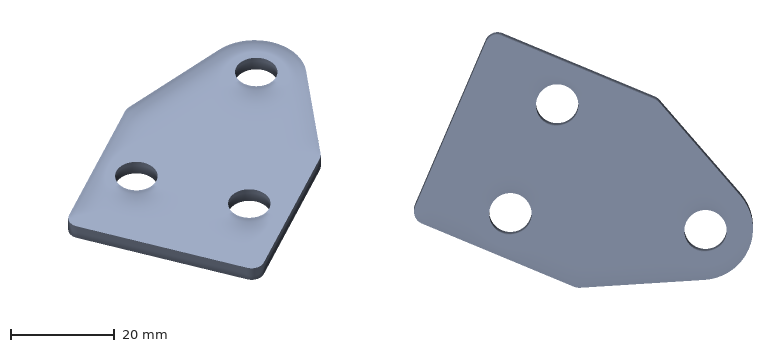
import cadquery as cq
import math

width = 40.0
length = 62.6
thickness = 3.0
shoulder_height = 35.0
nose_radius = 10.0
corner_radius = 2.5
hole_diameter = 8.2
base_hole_spacing = 23.2
base_hole_height = 17.5
nose_hole_offset = 36.0

half_width = width / 2
nose_center_y = length - nose_radius
rise = nose_center_y - shoulder_height
shoulder_to_center = math.hypot(half_width, rise)
edge_angle = math.atan2(rise, half_width) + math.asin(nose_radius / shoulder_to_center)
tangent_x = nose_radius * math.sin(edge_angle)
tangent_y = nose_center_y + nose_radius * math.cos(edge_angle)


def plate():
    """Flat plate with a square base, tapered sides and a round nose."""
    outline = (
        cq.Workplane("XY")
        .moveTo(-half_width, 0)
        .lineTo(half_width, 0)
        .lineTo(half_width, shoulder_height)
        .lineTo(tangent_x, tangent_y)
        .threePointArc((0, length), (-tangent_x, tangent_y))
        .lineTo(-half_width, shoulder_height)
        .close()
    )
    return outline.extrude(thickness)


def round_corners(body):
    """Round the two base corners and the two shoulders."""
    corner_limit = shoulder_height + corner_radius
    corners = cq.selectors.BoxSelector(
        (-width, -corner_radius, -thickness),
        (width, corner_limit, 2 * thickness),
    )
    return body.edges("|Z").edges(corners).fillet(corner_radius)


def drill_holes(body):
    """Cut the two base holes and the nose hole through the plate."""
    centers = [
        (-base_hole_spacing / 2, base_hole_height),
        (base_hole_spacing / 2, base_hole_height),
        (0, base_hole_height + nose_hole_offset),
    ]
    holes = (
        cq.Workplane("XY")
        .pushPoints(centers)
        .circle(hole_diameter / 2)
        .extrude(thickness)
    )
    return body.cut(holes)


result = drill_holes(round_corners(plate()))